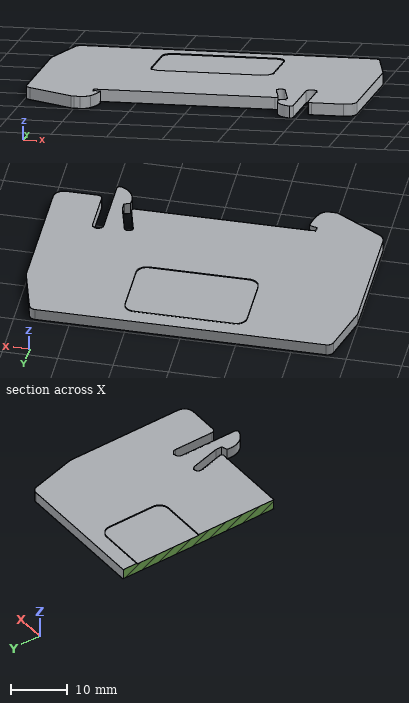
import cadquery as cq
import math

DOWN = -math.pi / 2

length = 59.8
height = 38.9
thickness = 2.2
half_length = length / 2

slope_angle = math.radians(15)
shoulder_y = 28.75
top_half_length = half_length - (height - shoulder_y) * math.tan(slope_angle)
top_corner_radius = 1.2
shoulder_radius = 1.5

rail_y = 6.05
foot_y = 3.3
outer_radius = 2.0
foot_inner_radius = 0.8
seat_corner_radius = 0.5

underside_angle = math.radians(30)
nose_flat_start_x = -20.05
nose_flat_end_x = -18.95
nose_lead_radius = 1.2
nose_radius = 2.0
nose_turn_angle = math.radians(61)
hook_tip = (-16.2, 4.65)
hook_root_x = -17.65
hook_root_y = 5.0
hook_flank_bulge = 0.2

straight_slot_left = 19.4
straight_slot_right = 21.35
straight_slot_top = 13.0
slanted_slot_width = 1.55
slanted_slot_top = 12.55
finger_root_x = 17.15
finger_bend_y = 6.2
latch_root_y = 4.95
latch_tip = (16.1, 4.6)
latch_end_radius = 0.6
latch_flank_bulge = 1.1

label_length = 22.0
label_height = 13.45
label_center_y = 29.2
label_radius = 2.0
label_depth = 0.2


def point_on_circle(center, radius, angle):
    return (center[0] + radius * math.cos(angle), center[1] + radius * math.sin(angle))


def make_plate():
    """Extruded outline, followed counter-clockwise from the top left corner."""
    lead_center = (nose_flat_start_x, nose_lead_radius)
    lead_start = point_on_circle(lead_center, nose_lead_radius, DOWN - underside_angle)
    lead_middle = point_on_circle(lead_center, nose_lead_radius, DOWN - underside_angle / 2)
    nose_center = (nose_flat_end_x, nose_radius)
    nose_middle = point_on_circle(nose_center, nose_radius, DOWN + nose_turn_angle / 2)
    nose_end = point_on_circle(nose_center, nose_radius, DOWN + nose_turn_angle)
    underside_rise = (lead_start[0] + half_length) * math.tan(underside_angle)
    underside_corner = (-half_length, lead_start[1] + underside_rise)

    slot_radius = slanted_slot_width / 2
    slope = math.tan(slope_angle)
    slot_x_width = slanted_slot_width / math.cos(slope_angle)
    slot_center_y = slanted_slot_top - slot_radius
    slot_center_x = finger_root_x - (slot_center_y - finger_bend_y) * slope - slot_x_width / 2
    slot_center = (slot_center_x, slot_center_y)
    slot_left = point_on_circle(slot_center, slot_radius, math.pi + slope_angle)
    slot_end = point_on_circle(slot_center, slot_radius, math.pi / 2 + slope_angle)
    slot_right = point_on_circle(slot_center, slot_radius, slope_angle)
    seat_end_x = finger_root_x - slot_x_width + (finger_bend_y - rail_y) * slope

    straight_center_x = (straight_slot_left + straight_slot_right) / 2
    straight_center_y = straight_slot_top - (straight_slot_right - straight_slot_left) / 2

    latch_end_center = (straight_slot_left - latch_end_radius, latch_end_radius)
    latch_end_middle = point_on_circle(latch_end_center, latch_end_radius, DOWN / 2)

    outline = (
        cq.Workplane("XY")
        .moveTo(-top_half_length, height)
        .lineTo(-half_length, shoulder_y)
        .lineTo(*underside_corner)
        .lineTo(*lead_start)
        .threePointArc(lead_middle, (nose_flat_start_x, 0))
        .lineTo(nose_flat_end_x, 0)
        .threePointArc(nose_middle, nose_end)
        .sagittaArc(hook_tip, -hook_flank_bulge)
        .lineTo(hook_root_x, hook_root_y)
        .lineTo(hook_root_x, rail_y)
        .lineTo(seat_end_x, rail_y)
        .lineTo(*slot_left)
        .threePointArc(slot_end, slot_right)
        .lineTo(finger_root_x, finger_bend_y)
        .lineTo(finger_root_x, latch_root_y)
        .lineTo(*latch_tip)
        .sagittaArc((latch_end_center[0], 0), -latch_flank_bulge)
        .threePointArc(latch_end_middle, (straight_slot_left, latch_end_radius))
        .lineTo(straight_slot_left, straight_center_y)
        .threePointArc((straight_center_x, straight_slot_top), (straight_slot_right, straight_center_y))
        .lineTo(straight_slot_right, foot_y)
        .lineTo(half_length, foot_y)
        .lineTo(half_length, shoulder_y)
        .lineTo(top_half_length, height)
        .close()
    )
    plate = outline.extrude(thickness)

    rounded_corners = [
        (top_corner_radius, (-top_half_length, height)),
        (top_corner_radius, (top_half_length, height)),
        (shoulder_radius, (-half_length, shoulder_y)),
        (shoulder_radius, (half_length, shoulder_y)),
        (outer_radius, underside_corner),
        (outer_radius, (half_length, foot_y)),
        (seat_corner_radius, (seat_end_x, rail_y)),
        (foot_inner_radius, (straight_slot_right, foot_y)),
    ]
    for radius, corner in rounded_corners:
        corner_edge = cq.selectors.NearestToPointSelector((*corner, thickness / 2))
        plate = plate.edges("|Z").edges(corner_edge).fillet(radius)
    return plate


def make_label_recess():
    return (
        cq.Workplane("XY", origin=(0, label_center_y, thickness - label_depth))
        .rect(label_length, label_height)
        .extrude(label_depth)
        .edges("|Z")
        .fillet(label_radius)
    )


result = make_plate().cut(make_label_recess())